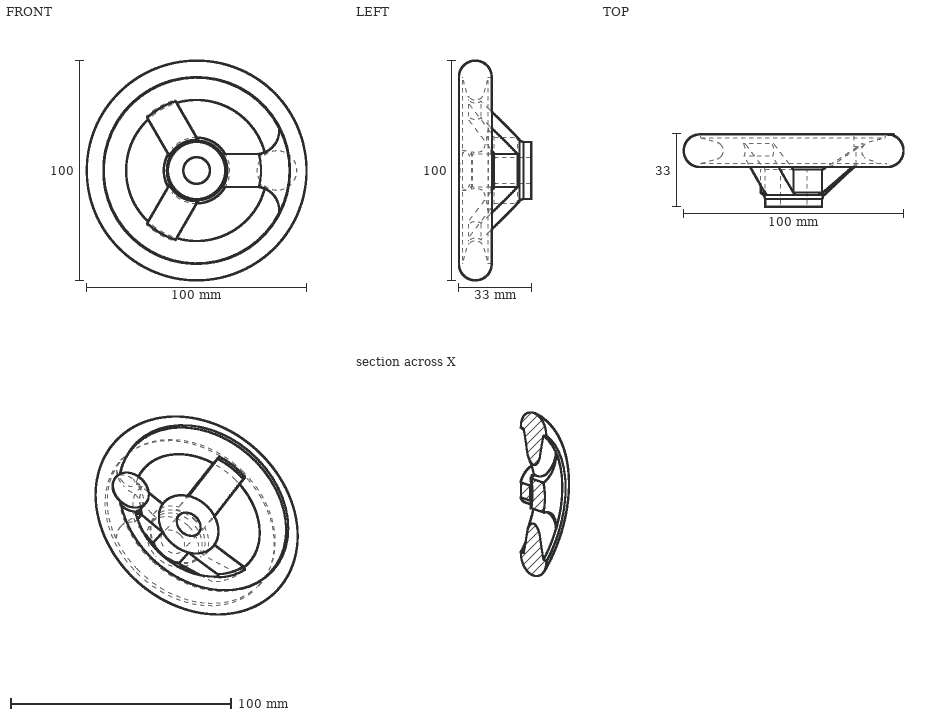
import cadquery as cq
import math


wheel_radius = 50.0
rim_depth = 15.0
rim_mid = -rim_depth / 2
tube_radius = rim_depth / 2
tube_center_radius = wheel_radius - tube_radius
flange_edge_radius = 42.2
flange_edge_step = 1.7
lip_radius = 4.0
opening_radius = 32.0
flange_slope = math.radians(16)

hub_front = -33.0
hub_back = -16.0
hub_radius = 15.0
collar_radius = 13.0
collar_length = 3.6
neck_radius = 13.6
neck_position = -27.6
shoulder_position = -26.6
bore_diameter = 12.0

spoke_count = 3
spoke_width = 15.0
spoke_inner_radius = 9.0
spoke_outer_radius = 36.0
spoke_front_radius = 14.0
spoke_front_slope = 1.075
spoke_back_radius = 16.5
spoke_back_slope = 1.45

pad_front = -13.4
pad_back = -5.7
pad_fillet = 10.5
pad_fillet_x = 27.0
boss_center = 36.5
boss_radius = 9.0


def revolve_about_y(profile):
    return profile.close().revolve(360, (0, 0, 0), (0, 1, 0))


def y_prism(sketch, front, back):
    """Extrude a sketch on the XZ plane between two Y positions."""
    return sketch.extrude(back - front).translate((0, back, 0))


def make_rim():
    lip_center = opening_radius + lip_radius
    tangent_radius = lip_center - lip_radius * math.sin(flange_slope)
    tangent_offset = lip_radius * math.cos(flange_slope)
    edge_front = -rim_depth + flange_edge_step
    edge_back = -flange_edge_step
    profile = (
        cq.Workplane("XY")
        .moveTo(tube_center_radius, 0)
        .threePointArc((wheel_radius, rim_mid), (tube_center_radius, -rim_depth))
        .lineTo(flange_edge_radius, edge_front)
        .lineTo(tangent_radius, rim_mid - tangent_offset)
        .threePointArc((opening_radius, rim_mid), (tangent_radius, rim_mid + tangent_offset))
        .lineTo(flange_edge_radius, edge_back)
    )
    return revolve_about_y(profile)


def make_hub():
    profile = cq.Workplane("XY").polyline([
        (0, hub_back),
        (hub_radius, hub_back),
        (hub_radius, shoulder_position),
        (neck_radius, neck_position),
        (collar_radius, hub_front + collar_length),
        (collar_radius, hub_front),
        (0, hub_front),
    ])
    return revolve_about_y(profile)


def front_depth(radius):
    """Y position of the spokes' front cone at a given radius."""
    return neck_position + (radius - spoke_front_radius) / spoke_front_slope


def back_depth(radius):
    """Y position of the spokes' rear cone at a given radius."""
    return -rim_depth + (radius - spoke_back_radius) / spoke_back_slope


def make_spokes():
    back_start = spoke_back_radius + spoke_back_slope * (hub_back + rim_depth)
    back_end = opening_radius
    cones = revolve_about_y(cq.Workplane("XY").polyline([
        (spoke_inner_radius, neck_position),
        (spoke_front_radius, neck_position),
        (spoke_outer_radius, front_depth(spoke_outer_radius)),
        (spoke_outer_radius, back_depth(back_end)),
        (back_end, back_depth(back_end)),
        (back_start, hub_back),
        (spoke_inner_radius, hub_back),
    ]))
    bar = cq.Workplane("XY").box(
        spoke_outer_radius, -hub_front, spoke_width, centered=(False, False, True)
    ).translate((0, hub_front, 0))
    spoke = cones.intersect(bar)
    spokes = spoke
    for index in range(1, spoke_count):
        spokes = spokes.union(spoke.rotate((0, 0, 0), (0, 1, 0), index * 360 / spoke_count))
    return spokes


def make_handle_mount():
    half_width = spoke_width / 2
    fillet_z = half_width + pad_fillet
    fillet_end_x = pad_fillet_x + pad_fillet
    pad_edge_z = math.sqrt(flange_edge_radius**2 - fillet_end_x**2)
    fillet_end = (fillet_end_x, fillet_z)
    diagonal = pad_fillet * math.sqrt(0.5)
    fillet_middle = (pad_fillet_x + diagonal, fillet_z - diagonal)
    pad_sketch = (
        cq.Workplane("XZ")
        .moveTo(pad_fillet_x, half_width)
        .threePointArc(fillet_middle, fillet_end)
        .lineTo(fillet_end_x, pad_edge_z)
        .threePointArc((flange_edge_radius, 0), (fillet_end_x, -pad_edge_z))
        .lineTo(fillet_end_x, -fillet_z)
        .threePointArc((fillet_middle[0], -fillet_middle[1]), (pad_fillet_x, -half_width))
        .close()
    )
    inner_end = spoke_front_radius + spoke_front_slope * (pad_front - neck_position)
    pad_envelope = revolve_about_y(cq.Workplane("XY").polyline([
        (inner_end, pad_front),
        (wheel_radius, pad_front),
        (wheel_radius, pad_back),
        (inner_end, pad_back),
    ]))
    pad = y_prism(pad_sketch, pad_front, pad_back).intersect(pad_envelope)
    boss_sketch = cq.Workplane("XZ").center(boss_center, 0).circle(boss_radius)
    boss = y_prism(boss_sketch, pad_back, 0)
    return pad.union(boss)


bore = y_prism(cq.Workplane("XZ").circle(bore_diameter / 2), hub_front, hub_back)
result = make_rim().union(make_spokes()).union(make_hub()).union(make_handle_mount()).cut(bore)